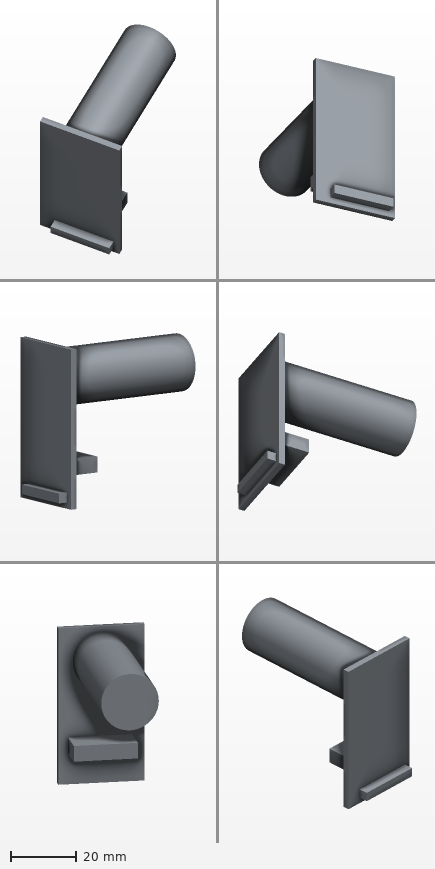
import cadquery as cq

plate_width = 27.0
plate_thickness = 2.0
plate_height = 50.0

post_diameter = 18.0
post_length = 48.0
post_top_margin = 2.0
post_x = plate_width / 2
post_z = plate_height - post_top_margin - post_diameter / 2

block_width = 20.0
block_depth = 10.0
block_height = 5.0
block_left = 4.0
block_bottom = 10.0

bar_width = 20.0
bar_depth = 3.0
bar_height = 3.0
bar_left = 5.0
bar_bottom = 2.0


def box_at(size, corner):
    """Box with its lowest X, Y and Z corner at the given point."""
    return cq.Workplane("XY").box(*size, centered=False).translate(corner)


def make_post():
    """Cylinder running along +Y from the back face of the plate."""
    base = cq.Vector(post_x, plate_thickness, post_z)
    direction = cq.Vector(0, 1, 0)
    return cq.Workplane(cq.Solid.makeCylinder(post_diameter / 2, post_length, base, direction))


plate = box_at((plate_width, plate_thickness, plate_height), (0, 0, 0))
block = box_at((block_width, block_depth, block_height), (block_left, plate_thickness, block_bottom))
bar = box_at((bar_width, bar_depth, bar_height), (bar_left, -bar_depth, bar_bottom))

result = plate.union(make_post()).union(block).union(bar)